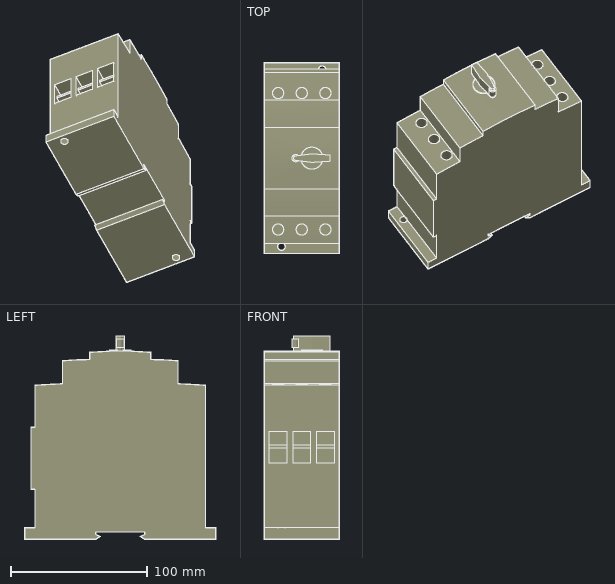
import cadquery as cq
import math

width = 55.0
base_length = 140.0
height = 149.0

base_height = 8.5
body_length = 125.2
seam_z = 107.1

shoulder_edge_z = 113.0
shoulder_radius = 968.5
middle_length = 85.0
middle_edge_z = 130.8
middle_radius = 208.6
crest_length = 45.0
crest_edge_z = 137.1
crest_radius = 268.2

pad_thickness = 2.8
pad_bottom_z = 36.5
pad_top_z = 82.1

slot_length = 35.8
slot_height = 5.2
tooth_reach = 3.5
tooth_tip_z = 2.1
tooth_top_z = 3.6

pole_pitch = 17.3
pole_positions = [-pole_pitch, 0.0, pole_pitch]
window_width = 13.1
window_bottom_z = 55.7
window_top_z = 79.0
window_depth = 14.9
clamp_bottom_z = 66.9
clamp_thickness = 2.1
clamp_setback = 3.7
screw_diameter = 8.2
screw_depth = 14.9
front_screw_y = -52.3
rear_screw_y = 47.7

mount_diameter = 5.4
mount_x = 14.9
mount_y = 64.8

knob_x = 7.5
dial_radius = 8.0
dial_top_z = 138.9
handle_half_width = 3.1
handle_end_x = 20.9
handle_end_half_width = 2.2
nose_x = -4.5
nose_radius = 1.6
barrel_radius = 2.7
barrel_bottom_z = 140.4
barrel_top_z = 146.8


def block(length_x, y_min, y_max, z_min, z_max, x_center=0.0):
    """Box centred on x_center that spans the given Y and Z ranges."""
    return cq.Workplane("XY").box(
        length_x, y_max - y_min, z_max - z_min, centered=(True, False, False)
    ).translate((x_center, y_min, z_min))


def crowned_step(length, edge_z, radius, flat_length=0.0):
    """Full-width step rising from seam_z, its top falling along an arc to each end.

    The arcs start level at the ends of a flat of flat_length, or meet at mid-length without one.
    """
    half = length / 2
    flat_half = flat_length / 2
    run = half - flat_half

    def arc_z(y):
        """Height of the arc at distance y beyond the flat."""
        return edge_z + math.sqrt(radius**2 - y**2) - math.sqrt(radius**2 - run**2)

    profile = cq.Workplane("YZ").moveTo(-half, seam_z).lineTo(-half, edge_z)
    if flat_length:
        rise_y = flat_half + run / 2
        rise_z = arc_z(run / 2)
        profile = (
            profile.threePointArc((-rise_y, rise_z), (-flat_half, arc_z(0)))
            .lineTo(flat_half, arc_z(0))
            .threePointArc((rise_y, rise_z), (half, edge_z))
        )
    else:
        profile = profile.threePointArc((0, arc_z(0)), (half, edge_z))
    return profile.lineTo(half, seam_z).close().extrude(width / 2, both=True)


def housing():
    body = block(width, -base_length / 2, base_length / 2, 0, base_height)
    body = body.union(block(width, -body_length / 2, body_length / 2, 0, seam_z))
    pad_y = body_length / 2 + pad_thickness
    body = body.union(block(width, 0, pad_y, pad_bottom_z, pad_top_z))
    body = body.union(crowned_step(body_length, shoulder_edge_z, shoulder_radius))
    body = body.union(crowned_step(middle_length, middle_edge_z, middle_radius, crest_length))
    return body.union(crowned_step(crest_length, crest_edge_z, crest_radius))


def rail_slot():
    """Slot across the underside with a pointed tooth on each side."""
    half = slot_length / 2
    right_side = [
        (half, 0),
        (half - tooth_reach, tooth_tip_z),
        (half, tooth_top_z),
        (half, slot_height),
    ]
    left_side = [(-y, z) for y, z in reversed(right_side)]
    return cq.Workplane("YZ").polyline(right_side + left_side).close().extrude(width / 2, both=True)


def terminal_window(x):
    """Front pocket with a clamp plate left standing inside it."""
    front_y = -body_length / 2
    back_y = front_y + window_depth
    pocket = block(window_width, front_y, back_y, window_bottom_z, window_top_z, x)
    clamp_top_z = clamp_bottom_z + clamp_thickness
    clamp = block(window_width, front_y + clamp_setback, back_y, clamp_bottom_z, clamp_top_z, x)
    return pocket.cut(clamp)


def screw_holes():
    centers = [(x, y) for x in pole_positions for y in (front_screw_y, rear_screw_y)]
    bottom_z = shoulder_edge_z - screw_depth
    return (
        cq.Workplane("XY", origin=(0, 0, bottom_z))
        .pushPoints(centers)
        .circle(screw_diameter / 2)
        .extrude(middle_edge_z - bottom_z)
    )


def mounting_holes():
    return (
        cq.Workplane("XY")
        .pushPoints([(-mount_x, -mount_y), (mount_x, mount_y)])
        .circle(mount_diameter / 2)
        .extrude(base_height)
    )


def handle():
    """Tapered grip with a rounded nose, a barrel round the nose and a dial under it."""
    grip = (
        cq.Workplane("XY", origin=(0, 0, seam_z))
        .moveTo(nose_x, -nose_radius)
        .lineTo(knob_x, -handle_half_width)
        .lineTo(handle_end_x, -handle_end_half_width)
        .lineTo(handle_end_x, handle_end_half_width)
        .lineTo(knob_x, handle_half_width)
        .lineTo(nose_x, nose_radius)
        .threePointArc((nose_x - nose_radius, 0), (nose_x, -nose_radius))
        .close()
        .extrude(height - seam_z)
    )
    barrel = (
        cq.Workplane("XY", origin=(nose_x, 0, barrel_bottom_z))
        .circle(barrel_radius)
        .extrude(barrel_top_z - barrel_bottom_z)
    )
    dial = (
        cq.Workplane("XY", origin=(knob_x, 0, seam_z))
        .circle(dial_radius)
        .extrude(dial_top_z - seam_z)
    )
    return grip.union(barrel).union(dial)


result = housing().cut(rail_slot()).cut(screw_holes()).cut(mounting_holes())
for pole_x in pole_positions:
    result = result.cut(terminal_window(pole_x))
result = result.union(handle())